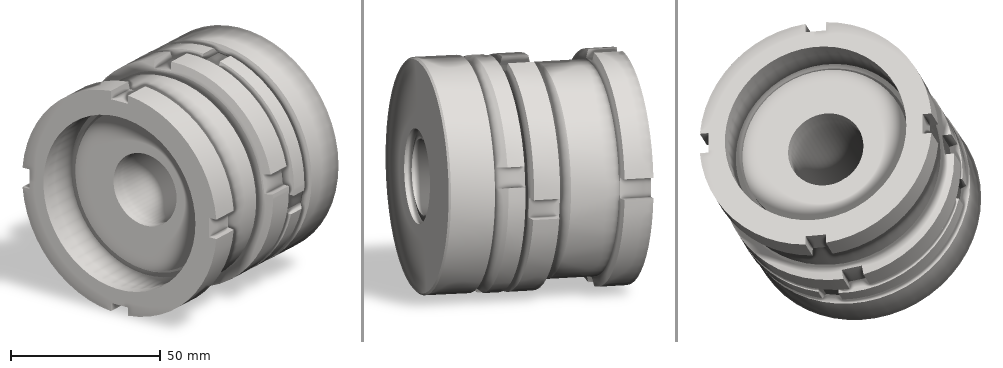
import cadquery as cq
import math


RING_RADIUS = 40.0
RING_THICKNESS = 11.0
RIM_BEVEL_RADIAL = 3.6
RIM_BEVEL_AXIAL = 1.0
RIM_INNER_RADIUS = RING_RADIUS - RIM_BEVEL_RADIAL

SLOT_COUNT = 4
SLOT_WIDTH = 7.0
SLOT_FLOOR_RADIUS = 36.9
NUT_TURN = 7.7
HEAD_TURN = -8.9

THREAD_RADIUS = 30.0
RELIEF_RADIUS = 28.7
HOLE_RADIUS = 13.0

BASE_LENGTH = 31.0
SLEEVE_RADIUS = 36.5
SLEEVE_CHAMFER = 3.2
COUNTERBORE_RADIUS = 31.2
COUNTERBORE_DEPTH = 16.0
LIP_BEVEL = 1.0

NUT_FRONT = 31.65
NUT_BACK = NUT_FRONT + RING_THICKNESS

THREAD_FRONT = COUNTERBORE_DEPTH + LIP_BEVEL
PILOT_FRONT = 14.8
HEAD_FRONT = 43.7
HEAD_BACK = 50.65
BALL_RADIUS = 50.0
BALL_CENTER = HEAD_BACK - math.sqrt(BALL_RADIUS**2 - RING_RADIUS**2)

DISC_FRONT = 54.1
DISC_THICKNESS = 16.6
DISC_BACK = DISC_FRONT + DISC_THICKNESS
DISC_HOLE_RADIUS = 16.1
DISC_FRONT_BEVEL_RADIAL = 1.9
DISC_BEVEL = 0.65
TILT_ABOUT_X = 0.3
TILT_ABOUT_Z = -0.7


def turned(outline):
    """Revolve a closed outline, drawn as (radius, Y), about the Y axis."""
    return outline.close().revolve(360, (0, 0), (0, 1))


def ball_y(radius):
    """Y of the spherical seat at a given distance from the axis."""
    return BALL_CENTER + math.sqrt(BALL_RADIUS**2 - radius**2)


def ball_arc(outline, start_radius, end_radius):
    """Continue an outline along the spherical seat."""
    middle_radius = (start_radius + end_radius) / 2
    return outline.threePointArc(
        (middle_radius, ball_y(middle_radius)),
        (end_radius, ball_y(end_radius)),
    )


def cut_slots(body, front, back, turn):
    """Cut the spanner slots in a rim between two Y positions, the whole set turned about Y."""
    slot_height = 2 * (RING_RADIUS - SLOT_FLOOR_RADIUS)
    slot = cq.Workplane("XY").box(SLOT_WIDTH, back - front, slot_height, centered=(True, False, False))
    slot = slot.translate((0, front, SLOT_FLOOR_RADIUS))
    for index in range(SLOT_COUNT):
        angle = -turn - index * 360 / SLOT_COUNT
        body = body.cut(slot.rotate((0, 0, 0), (0, 1, 0), angle))
    return body


def make_base():
    """Flange and sleeve with a counterbore and a beveled lip around the spindle pilot."""
    outline = (
        cq.Workplane("XY")
        .moveTo(COUNTERBORE_RADIUS, 0)
        .lineTo(RING_RADIUS, 0)
        .lineTo(RING_RADIUS, RING_THICKNESS - RIM_BEVEL_AXIAL)
        .lineTo(SLEEVE_RADIUS, RING_THICKNESS)
        .lineTo(SLEEVE_RADIUS, BASE_LENGTH - SLEEVE_CHAMFER)
        .lineTo(SLEEVE_RADIUS - SLEEVE_CHAMFER, BASE_LENGTH)
        .lineTo(THREAD_RADIUS, BASE_LENGTH)
        .lineTo(THREAD_RADIUS, THREAD_FRONT)
        .lineTo(RELIEF_RADIUS, THREAD_FRONT)
        .lineTo(RELIEF_RADIUS + LIP_BEVEL, COUNTERBORE_DEPTH)
        .lineTo(COUNTERBORE_RADIUS, COUNTERBORE_DEPTH)
    )
    return cut_slots(turned(outline), 0, RING_THICKNESS, 0)


def make_lock_nut():
    """Slotted ring beveled on both rims."""
    outline = (
        cq.Workplane("XY")
        .moveTo(THREAD_RADIUS, NUT_FRONT)
        .lineTo(RIM_INNER_RADIUS, NUT_FRONT)
        .lineTo(RING_RADIUS, NUT_FRONT + RIM_BEVEL_AXIAL)
        .lineTo(RING_RADIUS, NUT_BACK - RIM_BEVEL_AXIAL)
        .lineTo(RIM_INNER_RADIUS, NUT_BACK)
        .lineTo(THREAD_RADIUS, NUT_BACK)
    )
    return cut_slots(turned(outline), NUT_FRONT, NUT_BACK, NUT_TURN)


def make_spindle():
    """Hollow stem with a pilot, a thread and a short neck, and a slotted head with a spherical top."""
    outline = (
        cq.Workplane("XY")
        .moveTo(HOLE_RADIUS, PILOT_FRONT)
        .lineTo(RELIEF_RADIUS, PILOT_FRONT)
        .lineTo(RELIEF_RADIUS, THREAD_FRONT)
        .lineTo(THREAD_RADIUS, THREAD_FRONT)
        .lineTo(THREAD_RADIUS, NUT_BACK)
        .lineTo(RELIEF_RADIUS, NUT_BACK)
        .lineTo(RELIEF_RADIUS, HEAD_FRONT)
        .lineTo(RIM_INNER_RADIUS, HEAD_FRONT)
        .lineTo(RING_RADIUS, HEAD_FRONT + RIM_BEVEL_AXIAL)
        .lineTo(RING_RADIUS, HEAD_BACK)
    )
    outline = ball_arc(outline, RING_RADIUS, HOLE_RADIUS)
    slot_back = ball_y(SLOT_FLOOR_RADIUS)
    return cut_slots(turned(outline), HEAD_FRONT, slot_back, HEAD_TURN)


def make_disc():
    """Disc with a spherical socket, tilted about the center of the ball it rests on."""
    socket_radius = math.sqrt(BALL_RADIUS**2 - (DISC_FRONT - BALL_CENTER) ** 2)
    outline = (
        cq.Workplane("XY")
        .moveTo(socket_radius, DISC_FRONT)
        .lineTo(RING_RADIUS - DISC_FRONT_BEVEL_RADIAL, DISC_FRONT)
        .lineTo(RING_RADIUS, DISC_FRONT + DISC_BEVEL)
        .lineTo(RING_RADIUS, DISC_BACK - DISC_BEVEL)
        .lineTo(RING_RADIUS - DISC_BEVEL, DISC_BACK)
        .lineTo(DISC_HOLE_RADIUS, DISC_BACK)
        .lineTo(DISC_HOLE_RADIUS, ball_y(DISC_HOLE_RADIUS))
    )
    disc = turned(ball_arc(outline, DISC_HOLE_RADIUS, socket_radius))
    disc = disc.rotate((0, BALL_CENTER, 0), (1, BALL_CENTER, 0), TILT_ABOUT_X)
    return disc.rotate((0, BALL_CENTER, 0), (0, BALL_CENTER, 1), TILT_ABOUT_Z)


base = make_base()
lock_nut = make_lock_nut()
spindle = make_spindle()
disc = make_disc()

result = cq.Compound.makeCompound([base.val(), lock_nut.val(), spindle.val(), disc.val()])